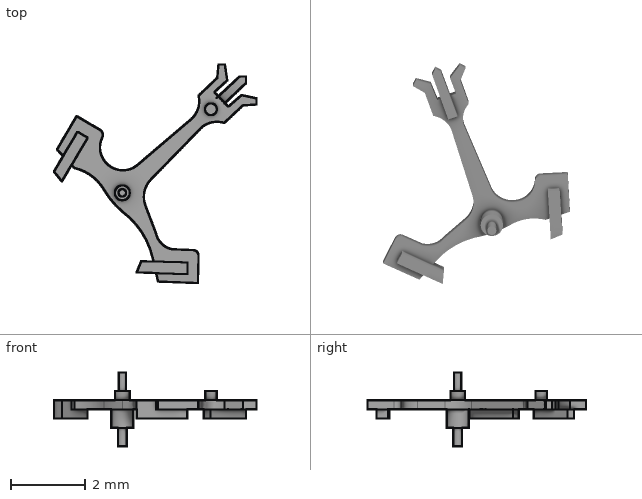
import cadquery as cq


overall_height = 2.0
plate_thickness = overall_height / 8
stone_depth = 2 * plate_thickness
dart_thickness = plate_thickness
pin_height = plate_thickness
hub_height = plate_thickness
upper_pivot_length = 2 * plate_thickness
collar_height = 2 * plate_thickness
lower_pivot_length = 2 * plate_thickness

hub_diameter = 0.4
upper_pivot_diameter = 0.2
collar_diameter = 0.6
lower_pivot_diameter = 0.24
pin_diameter = 0.32

pin_center = (2.395, 2.26)

dart_corners = [
    (2.2, 2.24),
    (2.38, 2.05),
    (3.345, 2.965),
    (3.345, 3.145),
    (3.17, 3.145),
]

entry_stone_corners = [
    (-1.21, 1.65),
    (-0.935, 1.49),
    (-1.63, 0.31),
    (-1.85, 0.575),
]
exit_stone_corners = [
    (1.755, -1.88),
    (1.755, -2.2),
    (0.385, -2.15),
    (0.51, -1.845),
]


def prism(corners, bottom, height):
    """Straight-sided upright prism standing on the level `bottom`."""
    return cq.Workplane("XY").workplane(offset=bottom).polyline(corners).close().extrude(height)


def cylinder(center, diameter, bottom, height):
    """Upright cylinder standing on the level `bottom`."""
    return cq.Workplane("XY").workplane(offset=bottom).center(*center).circle(diameter / 2).extrude(height)


def make_plate():
    """Flat lever: entry arm, fork stem and horns, exit arm, curved belly."""
    outline = (
        cq.Workplane("XY")
        .moveTo(-1.235, 2.075)
        .lineTo(-0.62, 1.715)
        .threePointArc((-0.53, 1.62), (-0.545, 1.485))
        .threePointArc((-0.42, 0.79), (0.39, 0.74))
        .lineTo(1.875, 2.005)
        .threePointArc((2.045, 2.28), (2.055, 2.625))
        .lineTo(2.56, 3.1)
        .lineTo(2.595, 3.47)
        .lineTo(2.77, 3.47)
        .lineTo(2.835, 3.04)
        .lineTo(2.49, 2.72)
        .lineTo(2.86, 2.33)
        .lineTo(3.22, 2.64)
        .lineTo(3.63, 2.555)
        .lineTo(3.63, 2.38)
        .lineTo(3.255, 2.36)
        .lineTo(2.755, 1.885)
        .threePointArc((2.435, 1.905), (2.16, 1.78))
        .lineTo(0.785, 0.37)
        .threePointArc((0.595, 0.02), (0.625, -0.34))
        .lineTo(0.91, -1.09)
        .threePointArc((1.07, -1.375), (1.335, -1.52))
        .lineTo(1.89, -1.54)
        .threePointArc((2.015, -1.59), (2.06, -1.715))
        .lineTo(2.045, -2.44)
        .lineTo(0.965, -2.4)
        .lineTo(0.815, -1.755)
        .threePointArc((0.515, -1.05), (0.005, -0.515))
        .threePointArc((-0.265, -0.24), (-0.49, 0.07))
        .threePointArc((-0.84, 0.46), (-1.295, 0.67))
        .lineTo(-1.77, 1.17)
        .close()
    )
    return outline.extrude(plate_thickness)


def make_staff_parts():
    """Coaxial steps of the staff above and below the plate."""
    axis = (0, 0)
    hub_top = plate_thickness + hub_height
    hub = cylinder(axis, hub_diameter, plate_thickness, hub_height)
    upper_pivot = cylinder(axis, upper_pivot_diameter, hub_top, upper_pivot_length)
    collar = cylinder(axis, collar_diameter, -collar_height, collar_height)
    lower_pivot_bottom = -collar_height - lower_pivot_length
    lower_pivot = cylinder(axis, lower_pivot_diameter, lower_pivot_bottom, lower_pivot_length)
    return [hub, upper_pivot, collar, lower_pivot]


def make_pallet_stone(corners):
    """Pallet stone with its top flush with the top of the plate."""
    return prism(corners, plate_thickness - stone_depth, stone_depth)


def make_lever(stones):
    """Lever with staff, dart and pin in one piece, slotted for the stones."""
    lever = make_plate()
    for step in make_staff_parts():
        lever = lever.union(step)
    lever = lever.union(prism(dart_corners, -dart_thickness, dart_thickness))
    lever = lever.union(cylinder(pin_center, pin_diameter, plate_thickness, pin_height))
    for stone in stones:
        lever = lever.cut(stone)
    return lever


pallet_stones = []
for stone_corners in (entry_stone_corners, exit_stone_corners):
    pallet_stones.append(make_pallet_stone(stone_corners))

lever = make_lever(pallet_stones)

result = cq.Compound.makeCompound([lever.val(), *[stone.val() for stone in pallet_stones]])